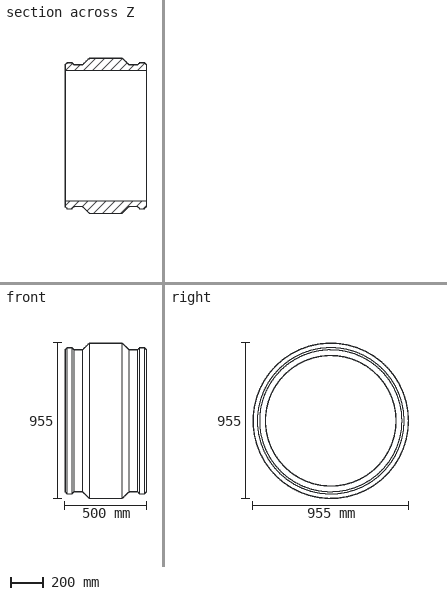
import cadquery as cq

length = 500.0
bore_diameter = 800.0
neck_diameter = 873.0
rim_diameter = 900.0
band_diameter = 955.0

band_width = 201.0
band_taper_length = 43.0
rim_width = 29.0

bore_radius = bore_diameter / 2
neck_radius = neck_diameter / 2
rim_radius = rim_diameter / 2
band_radius = band_diameter / 2
rim_chamfer = rim_radius - neck_radius

end_x = length / 2
rim_outer_x = end_x - rim_chamfer
rim_inner_x = rim_outer_x - rim_width
neck_outer_x = rim_inner_x - rim_chamfer
band_edge_x = band_width / 2
neck_inner_x = band_edge_x + band_taper_length

half_profile = [
    (band_edge_x, band_radius),
    (neck_inner_x, neck_radius),
    (neck_outer_x, neck_radius),
    (rim_inner_x, rim_radius),
    (rim_outer_x, rim_radius),
    (end_x, neck_radius),
]
mirrored_profile = [(-x, radius) for x, radius in reversed(half_profile)]

section = mirrored_profile + half_profile + [(end_x, bore_radius), (-end_x, bore_radius)]

result = cq.Workplane("XY").polyline(section).close().revolve(360, (0, 0, 0), (1, 0, 0))